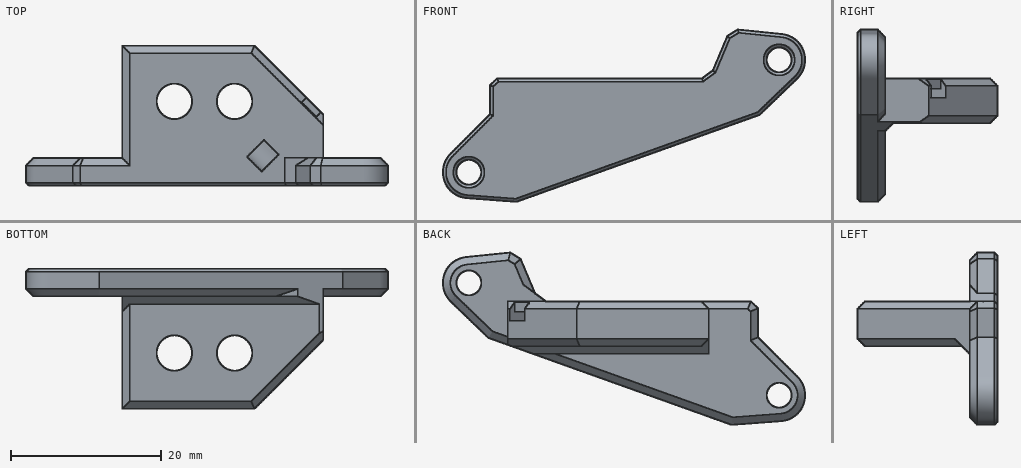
import cadquery as cq
import math

overall_length = 48.25
plate_thickness = 3.7
front_chamfer = 0.45
back_chamfer = 1.0
lug_radius = 3.45
lug_hole_diameter = 3.3
lug_hole_chamfer = 0.45
left_lug = (lug_radius, 3.95)
right_lug = (overall_length - lug_radius, 18.9)
lower_edge_left = (9.8, 0)
lower_edge_right = (42.15, 11.6)

shelf_top = 16.45
shelf_thickness = 6.0
shelf_bottom = shelf_top - shelf_thickness
shelf_left = 12.85
shelf_right = 39.6
shelf_back = 18.65
bevel_start_x = 30.45
shelf_chamfer = 1.0
gusset_leg = 1.0
bolt_diameter = 4.7
bolt_y = 11.25
bolt_xs = (19.8, 27.8)

ramp_start_x = 34.5
ramp_end = (35.95, 17.5)
ramp_buried_x = 37.65

strap_width = 2.75
channel_exit = (38.3, 10.75)
channel_near = 7.95
channel_far = 11.15
channel_floor_depth = 2.55
channel_roof_depth = 1.4
recess_depth = 0.85
overcut = 1.45


def on_circle(center, angle, radius=lug_radius):
    a = math.radians(angle)
    return (center[0] + radius * math.cos(a), center[1] + radius * math.sin(a))


def xz_prism(sketch, y_start, y_end):
    """Extrude a closed XZ outline from y_start to y_end."""
    return sketch.extrude(-(y_end - y_start)).translate((0, y_start, 0))


def plate_outline():
    return (
        cq.Workplane("XZ")
        .moveTo(*on_circle(left_lug, 135))
        .lineTo(6.25, 11.7)
        .lineTo(6.25, 15.55)
        .lineTo(7.25, shelf_top)
        .lineTo(ramp_start_x, shelf_top)
        .lineTo(*ramp_end)
        .lineTo(37.9, 22.1)
        .lineTo(39.28, 22.95)
        .lineTo(*on_circle(right_lug, 86))
        .threePointArc(on_circle(right_lug, 20), on_circle(right_lug, -45))
        .lineTo(*lower_edge_right)
        .lineTo(*lower_edge_left)
        .lineTo(*on_circle(left_lug, 266))
        .threePointArc(on_circle(left_lug, 200), on_circle(left_lug, 135))
        .close()
    )


def make_plate():
    plate = xz_prism(plate_outline(), 0, plate_thickness)
    return plate.faces("<Y").chamfer(front_chamfer).faces(">Y").chamfer(back_chamfer)


def make_shelf():
    bevel_end_y = shelf_back - (shelf_right - bevel_start_x)
    shelf = (
        cq.Workplane("XY", origin=(0, 0, shelf_bottom))
        .moveTo(shelf_left, front_chamfer)
        .lineTo(shelf_left, shelf_back)
        .lineTo(bevel_start_x, shelf_back)
        .lineTo(shelf_right, bevel_end_y)
        .lineTo(shelf_right, front_chamfer)
        .close()
        .extrude(shelf_thickness)
    )
    slab_sides = cq.selectors.BoxSelector(
        (shelf_left - 0.5, front_chamfer + 0.5, shelf_bottom - 0.5),
        (shelf_right - 0.5, shelf_back + 0.5, shelf_top + 0.5),
    )
    return shelf.faces("<Z or >Z").edges(slab_sides).chamfer(shelf_chamfer)


def make_gusset():
    """45 degree fill in the corner between the plate and the shelf underside."""
    fill_top = shelf_bottom + shelf_chamfer
    leg = gusset_leg + shelf_chamfer
    return (
        cq.Workplane("YZ", origin=(shelf_left, 0, 0))
        .moveTo(front_chamfer, fill_top)
        .lineTo(plate_thickness + leg, fill_top)
        .lineTo(plate_thickness, fill_top - leg)
        .lineTo(front_chamfer, fill_top - leg)
        .close()
        .extrude(shelf_right - shelf_left)
    )


def below_plate_edge():
    """Space under the sloping lower edge of the plate."""
    outline = (
        cq.Workplane("XZ")
        .moveTo(*lower_edge_left)
        .lineTo(*lower_edge_right)
        .lineTo(lower_edge_right[0], lower_edge_left[1])
        .close()
    )
    return xz_prism(outline, 0, shelf_back)


def make_ramp():
    slope = (ramp_end[1] - shelf_top) / (ramp_end[0] - ramp_start_x)
    buried_z = shelf_top + slope * (ramp_buried_x - ramp_start_x)
    outline = (
        cq.Workplane("XZ")
        .moveTo(ramp_start_x, shelf_top)
        .lineTo(ramp_buried_x, buried_z)
        .lineTo(ramp_buried_x, shelf_bottom + shelf_chamfer)
        .lineTo(ramp_start_x, shelf_bottom + shelf_chamfer)
        .close()
    )
    return xz_prism(outline, front_chamfer, plate_thickness)


def make_strap_channel():
    """Local x runs inward from the beveled edge; local y is height above the shelf top."""
    plane = cq.Plane(
        origin=(*channel_exit, shelf_top), xDir=(-1, -1, 0), normal=(-1, 1, 0)
    )
    floor_radius = channel_floor_depth
    roof_radius = channel_roof_depth
    floor_center = channel_far - floor_radius
    roof_center = channel_near - roof_radius
    diagonal = math.sqrt(0.5)
    channel = (
        cq.Workplane(plane)
        .moveTo(-overcut, -channel_floor_depth)
        .lineTo(floor_center, -channel_floor_depth)
        .threePointArc(
            (floor_center + floor_radius * diagonal, -floor_radius * diagonal),
            (channel_far, 0),
        )
        .lineTo(channel_near, 0)
        .threePointArc(
            (roof_center + roof_radius * diagonal, -roof_radius * diagonal),
            (roof_center, -roof_radius),
        )
        .lineTo(-overcut, -channel_roof_depth)
        .close()
        .extrude(strap_width / 2, both=True)
    )
    recess = (
        cq.Workplane(plane)
        .moveTo(-overcut, -channel_floor_depth)
        .lineTo(recess_depth, -channel_floor_depth)
        .lineTo(recess_depth, 0)
        .lineTo(-overcut, 0)
        .close()
        .extrude(strap_width / 2, both=True)
    )
    return channel.union(recess)


def lug_hole(center):
    """Through hole with a countersunk front rim."""
    radius = lug_hole_diameter / 2
    hole = xz_prism(cq.Workplane("XZ").center(*center).circle(radius), 0, plate_thickness)
    rim = cq.Solid.makeCone(
        radius + lug_hole_chamfer,
        radius,
        lug_hole_chamfer,
        pnt=cq.Vector(center[0], 0, center[1]),
        dir=cq.Vector(0, 1, 0),
    )
    return hole.union(cq.Workplane(rim))


shelf_body = make_shelf().union(make_gusset()).cut(below_plate_edge())
result = make_plate().union(shelf_body).union(make_ramp())

for lug in (left_lug, right_lug):
    result = result.cut(lug_hole(lug))

bolt_holes = (
    cq.Workplane("XY")
    .pushPoints([(x, bolt_y) for x in bolt_xs])
    .circle(bolt_diameter / 2)
    .extrude(shelf_top)
)
result = result.cut(bolt_holes).cut(make_strap_channel())